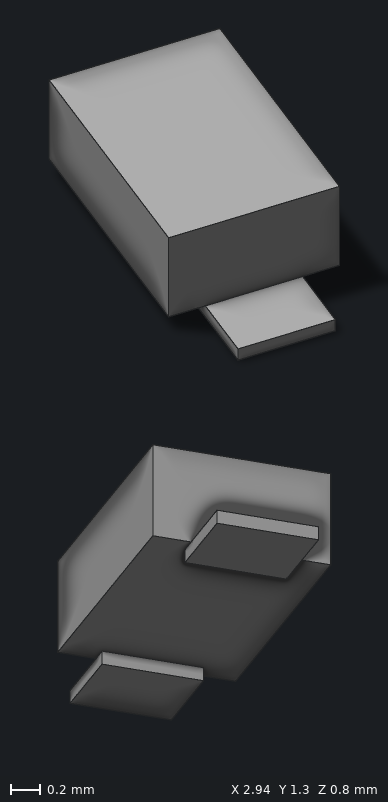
import cadquery as cq

overall_length = 2.94
overall_height = 0.8

housing_length = 1.902
housing_width = 1.3

lead_length = 0.64
lead_width = 0.74
lead_thickness = 0.1

housing_height = overall_height - lead_thickness
lead_offset = (overall_length - lead_length) / 2


def make_housing():
    """Plain block that rests on top of the leads."""
    return (
        cq.Workplane("XY")
        .workplane(offset=lead_thickness)
        .rect(housing_length, housing_width)
        .extrude(housing_height)
    )


def make_lead(side):
    """Flat lead at the -X end (side = -1) or the +X end (side = 1)."""
    return (
        cq.Workplane("XY")
        .center(side * lead_offset, 0)
        .rect(lead_length, lead_width)
        .extrude(lead_thickness)
    )


housing = make_housing()
leads = [make_lead(side) for side in (-1, 1)]

result = cq.Compound.makeCompound([housing.val(), *[lead.val() for lead in leads]])